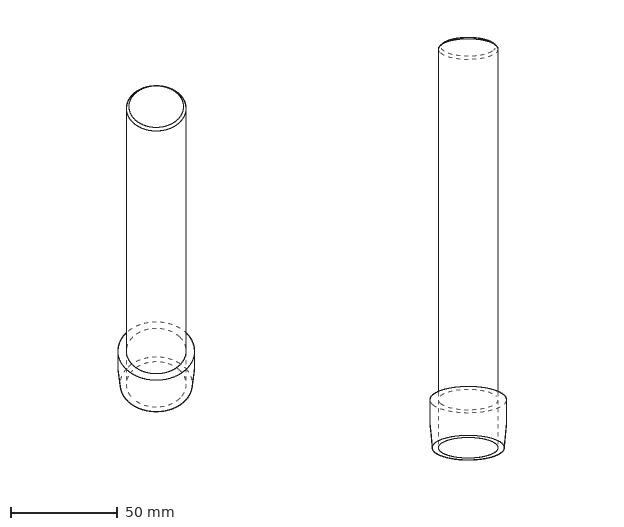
import cadquery as cq
import math

total_height = 200.0
collar_diameter = 36.0
collar_height = 24.0
taper_height = 12.0
taper_angle = 5.0

pin_diameter = 28.0
pin_chamfer = 1.2


def make_pin():
    """Plain round pin, chamfered at the top, running the full height."""
    pin = cq.Workplane("XY").circle(pin_diameter / 2).extrude(total_height)
    return pin.faces(">Z").chamfer(pin_chamfer)


def make_collar():
    """Ring around the foot of the pin, straight above and tapered below."""
    bore_radius = pin_diameter / 2
    outer_radius = collar_diameter / 2
    foot_radius = outer_radius - taper_height * math.tan(math.radians(taper_angle))
    profile = (
        cq.Workplane("XZ")
        .moveTo(bore_radius, 0)
        .lineTo(foot_radius, 0)
        .lineTo(outer_radius, taper_height)
        .lineTo(outer_radius, collar_height)
        .lineTo(bore_radius, collar_height)
        .close()
    )
    return profile.revolve(360, (0, 0, 0), (0, 1, 0))


pin = make_pin()
collar = make_collar()

result = cq.Compound.makeCompound([pin.val(), collar.val()])